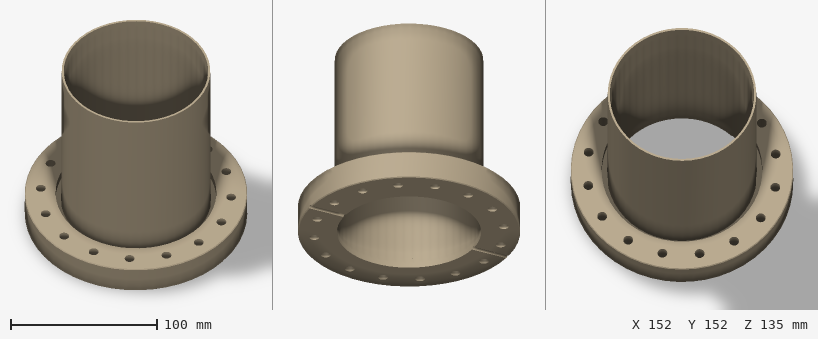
import cadquery as cq

flange_diameter = 152.0
flange_thickness = 20.0
flange_bore = 109.9
edge_chamfer = 0.6

bolt_count = 16
bolt_circle_diameter = 130.3
bolt_hole_diameter = 6.7
bolt_pitch_angle = 360.0 / bolt_count

ring_recess = 6.1
ring_height = flange_thickness - ring_recess

total_height = 135.0
tube_outer_diameter = 101.5
tube_inner_diameter = 98.6
socket_diameter = 102.8
socket_depth = ring_height / 2
shoulder_height = ring_height - socket_depth

groove_width = 3.6
groove_depth = 1.4


def make_tube_shape(outer_diameter, inner_diameter, bottom, height):
    """Hollow cylinder about Z, starting at the given bottom height."""
    return (
        cq.Workplane("XY")
        .workplane(offset=bottom)
        .circle(outer_diameter / 2)
        .circle(inner_diameter / 2)
        .extrude(height)
    )


def make_leak_groove():
    """Round-topped groove cutter running the full width along X."""
    return (
        cq.Workplane("YZ")
        .moveTo(-groove_width / 2, 0)
        .threePointArc((0, groove_depth), (groove_width / 2, 0))
        .close()
        .extrude(flange_diameter / 2, both=True)
    )


def make_outer_flange():
    """Flange with chamfered rim, bolt holes and leak-check groove."""
    blank = cq.Workplane("XY").circle(flange_diameter / 2).extrude(flange_thickness)
    blank = blank.edges("%CIRCLE").chamfer(edge_chamfer)
    bore = cq.Workplane("XY").circle(flange_bore / 2).extrude(flange_thickness)
    bolt_holes = (
        cq.Workplane("XY")
        .polarArray(bolt_circle_diameter / 2, bolt_pitch_angle / 2, 360, bolt_count)
        .circle(bolt_hole_diameter / 2)
        .extrude(flange_thickness)
    )
    return blank.cut(bore).cut(bolt_holes).cut(make_leak_groove())


def make_inner_ring():
    """Ring filling the flange bore, with a socket for the tube."""
    ring = make_tube_shape(flange_bore, tube_inner_diameter, 0, ring_height)
    socket = (
        cq.Workplane("XY")
        .workplane(offset=shoulder_height)
        .circle(socket_diameter / 2)
        .extrude(socket_depth)
    )
    return ring.cut(socket).cut(make_leak_groove())


def make_tube():
    """Thin-walled tube rising from the ring shoulder to the full height."""
    return make_tube_shape(
        tube_outer_diameter,
        tube_inner_diameter,
        shoulder_height,
        total_height - shoulder_height,
    )


outer_flange = make_outer_flange()
inner_ring = make_inner_ring()
tube = make_tube()

result = cq.Compound.makeCompound([outer_flange.val(), inner_ring.val(), tube.val()])